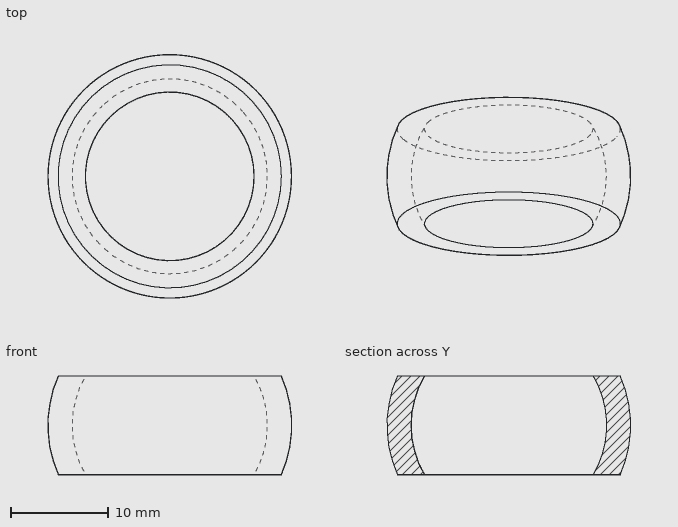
import cadquery as cq

outer_radius = 12.5
wall_thickness = 2.5
height = 10.12

inner_radius = outer_radius - wall_thickness


def spherical_slice(radius):
    """Solid ball centred on the origin, trimmed flat at the top and bottom of the ring."""
    slab = cq.Workplane("XY").box(2 * outer_radius, 2 * outer_radius, height)
    return cq.Workplane("XY").sphere(radius).intersect(slab)


result = spherical_slice(outer_radius).cut(spherical_slice(inner_radius))